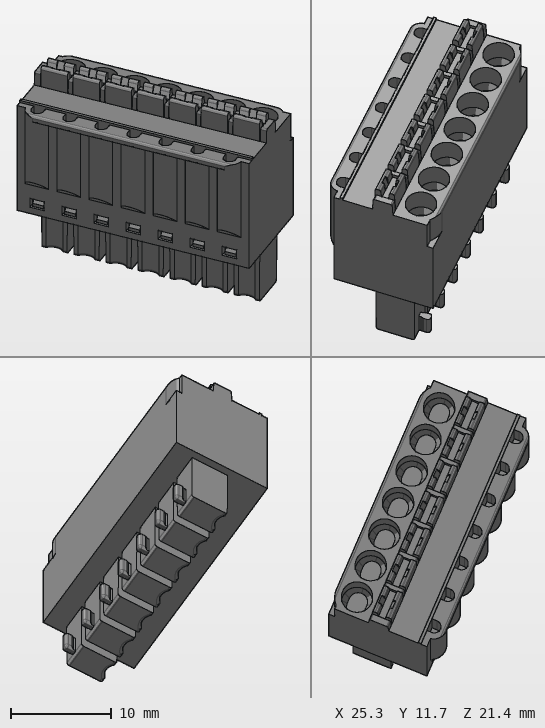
import cadquery as cq

POLES = 7
PITCH = 3.5
POLE_X = [(i - (POLES - 1) / 2) * PITCH for i in range(POLES)]
OVERLAP = 0.13

LENGTH = 25.3
DEPTH = 10.58
BOTTOM_Z = 6.7
TOP_Z = 19.13

FRONT_REACH = 1.11
COLUMN_WIDTH = 2.53
COLUMN_BOTTOM_Z = 10.12
LIP_HEIGHT = 0.68
LIP_ROUND = 0.25
COLUMN_R = ((COLUMN_WIDTH / 2) ** 2 + FRONT_REACH ** 2) / (2 * FRONT_REACH)

LINE_Y = 0.63
LINE_WIDTH = 0.3
LINE_HEIGHT = 0.25
SLOT_WIDTH = 1.3
SLOT_TIP_Y = -0.53
SLOT_DEPTH = 3.8

WIRE_SHIFT_X = -0.2
WIRE_Y = 8.35
WIRE_D = 3.1
WIRE_FLOOR_LENGTH = 2.4
WIRE_FLOOR_WIDTH = 1.87
WIRE_DEPTH = 3.04
WIRE_FUNNEL_HEIGHT = 0.75

CORNER_Y = 9.95
CORNER_Z = 15.91
BACK_R = DEPTH - WIRE_Y
BACK_ROUND = 0.25

RIDGE_FRONT_Y = 4.1
RIDGE_BACK_Y = 6.3
RIDGE_TOP_Z = 20.65
RIDGE_TAPER = 0.1
RIDGE_ROUND = 0.15

LEVER_WIDTH = 2.88
LEVER_GAP = 0.08
LEVER_FRONT_Y = 4.1
LEVER_BACK_TOP_Y = 6.15
LEVER_TOP_Z = 21.4
LEVER_ROUND = 0.25
GROOVE_FRONT_Y = 4.68
GROOVE_BACK_Y = 5.65
GROOVE_FLOOR_Z = 20.37
GROOVE_TAPER = 0.13
DRIVER_WIDTH = 0.8
DRIVER_FRONT_Y = 4.45
DRIVER_BACK_Y = 5.95

WINDOW_WIDTH = 1.57
WINDOW_BOTTOM_Z = 7.46
WINDOW_HEIGHT = 1.04
WINDOW_DEPTH = 0.68
CATCH_WIDTH = 1.2
CATCH_FRONT_Y = 0.25
CATCH_EDGE_HEIGHT = 0.35
CATCH_HEIGHT = 0.78

PIN_FRONT_Y = 4.17
PIN_BACK_Y = 8.3
PIN_ROOT_WIDTH = 2.88
PIN_TIP_WIDTH = 2.73
PIN_ROUND = 0.3
FLUTE_WIDTH = 1.82
FLUTE_DEPTH = 0.4

TAB_BACK_Y = 9.51
TAB_BOTTOM_Z = 0.3
TAB_TOP_Z = 2.53
TAB_HEAD_WIDTH = 0.8
TAB_HEAD_Y = 8.8
TAB_BEVEL_X = 0.13
TAB_BEVEL_Y = 0.25
TAB_ROUND = 0.33


def box(x0, x1, y0, y1, z0, z1):
    """Box between two opposite corners."""
    return cq.Workplane("XY").box(x1 - x0, y1 - y0, z1 - z0, centered=False).translate((x0, y0, z0))


def prism(points, width):
    """Straight-sided (Y, Z) profile extruded along X, centred on X = 0."""
    return cq.Workplane("YZ").polyline(points).close().extrude(width / 2, both=True)


def at_poles(shape, shift=0.0):
    """Copies of a shape at all poles, as one workplane."""
    copies = [shape.val().moved(cq.Location(cq.Vector(x + shift, 0, 0))) for x in POLE_X]
    return cq.Workplane("XY").newObject([cq.Compound.makeCompound(copies)])


def make_housing():
    half = LENGTH / 2
    housing = box(-half, half, 0, DEPTH, BOTTOM_Z, TOP_Z)
    housing = housing.edges(">Y and >Z").fillet(BACK_ROUND)
    strip = box(-half, half, CORNER_Y, DEPTH, CORNER_Z, TOP_Z)
    first_x = POLE_X[0] + WIRE_SHIFT_X
    last_x = POLE_X[-1] + WIRE_SHIFT_X
    kept = box(first_x, last_x, 0, DEPTH, CORNER_Z, TOP_Z)
    for x in (first_x, last_x):
        kept = kept.union(
            cq.Workplane("XY", origin=(x, WIRE_Y, CORNER_Z)).circle(BACK_R).extrude(TOP_Z - CORNER_Z)
        )
    return housing.cut(strip.cut(kept))


def make_front_columns():
    plan = at_poles(
        cq.Workplane("XY", origin=(0, COLUMN_R - FRONT_REACH, COLUMN_BOTTOM_Z))
        .circle(COLUMN_R)
        .extrude(TOP_Z - COLUMN_BOTTOM_Z)
    )
    lip = box(POLE_X[0], POLE_X[-1], -FRONT_REACH, OVERLAP, TOP_Z - LIP_HEIGHT, TOP_Z)
    profile = prism(
        [
            (OVERLAP, COLUMN_BOTTOM_Z - OVERLAP),
            (-FRONT_REACH, COLUMN_BOTTOM_Z + FRONT_REACH),
            (-FRONT_REACH, TOP_Z),
            (OVERLAP, TOP_Z),
        ],
        LENGTH,
    )
    profile = profile.edges("<Y and >Z").fillet(LIP_ROUND)
    return profile.intersect(lip.union(plan))


def make_raised_line():
    half = LENGTH / 2
    return box(-half, half, LINE_Y, LINE_Y + LINE_WIDTH, TOP_Z - OVERLAP, TOP_Z + LINE_HEIGHT)


def make_test_slot():
    radius = SLOT_WIDTH / 2
    centre_y = SLOT_TIP_Y + radius
    return (
        cq.Workplane("XY", origin=(0, 0, TOP_Z - SLOT_DEPTH))
        .moveTo(-radius, LINE_Y)
        .lineTo(-radius, centre_y)
        .threePointArc((0, SLOT_TIP_Y), (radius, centre_y))
        .lineTo(radius, LINE_Y)
        .close()
        .extrude(SLOT_DEPTH)
    )


def make_wire_hole():
    """Round bore whose bottom funnels down to a slot."""
    funnel = (
        cq.Workplane("XY", origin=(0, WIRE_Y, TOP_Z - WIRE_DEPTH))
        .slot2D(WIRE_FLOOR_LENGTH, WIRE_FLOOR_WIDTH)
        .workplane(offset=WIRE_FUNNEL_HEIGHT)
        .circle(WIRE_D / 2)
        .loft(ruled=True)
    )
    bore_height = WIRE_DEPTH - WIRE_FUNNEL_HEIGHT
    return funnel.faces(">Z").workplane(origin=(0, WIRE_Y, 0)).circle(WIRE_D / 2).extrude(bore_height)


def make_ridge():
    ridge = prism(
        [
            (RIDGE_FRONT_Y, TOP_Z - OVERLAP),
            (RIDGE_FRONT_Y, TOP_Z),
            (RIDGE_FRONT_Y + RIDGE_TAPER, RIDGE_TOP_Z),
            (RIDGE_BACK_Y - RIDGE_TAPER, RIDGE_TOP_Z),
            (RIDGE_BACK_Y, TOP_Z),
            (RIDGE_BACK_Y, TOP_Z - OVERLAP),
        ],
        LENGTH,
    )
    ridge = ridge.faces(">Z").edges("|X").fillet(RIDGE_ROUND)
    half_gap = LEVER_WIDTH / 2 + LEVER_GAP
    gap = box(-half_gap, half_gap, RIDGE_FRONT_Y, RIDGE_BACK_Y, TOP_Z, RIDGE_TOP_Z)
    return ridge.cut(at_poles(gap))


def make_lever():
    lever = prism(
        [
            (LEVER_FRONT_Y, TOP_Z - OVERLAP),
            (LEVER_FRONT_Y, LEVER_TOP_Z),
            (GROOVE_FRONT_Y, LEVER_TOP_Z),
            (GROOVE_FRONT_Y + GROOVE_TAPER, GROOVE_FLOOR_Z),
            (GROOVE_BACK_Y - GROOVE_TAPER, GROOVE_FLOOR_Z),
            (GROOVE_BACK_Y, LEVER_TOP_Z),
            (LEVER_BACK_TOP_Y, LEVER_TOP_Z),
            (RIDGE_BACK_Y, TOP_Z),
            (RIDGE_BACK_Y, TOP_Z - OVERLAP),
        ],
        LEVER_WIDTH,
    )
    lever = lever.faces(">Z").edges("|X").fillet(LEVER_ROUND)
    notch = prism(
        [
            (DRIVER_FRONT_Y, LEVER_TOP_Z),
            (GROOVE_FRONT_Y + GROOVE_TAPER, GROOVE_FLOOR_Z),
            (GROOVE_BACK_Y - GROOVE_TAPER, GROOVE_FLOOR_Z),
            (DRIVER_BACK_Y, LEVER_TOP_Z),
        ],
        DRIVER_WIDTH,
    )
    return lever.cut(notch)


def make_window():
    """Rectangular pocket that leaves a sloped catch standing on its floor."""
    half = WINDOW_WIDTH / 2
    pocket = box(-half, half, 0, WINDOW_DEPTH, WINDOW_BOTTOM_Z, WINDOW_BOTTOM_Z + WINDOW_HEIGHT)
    catch = prism(
        [
            (CATCH_FRONT_Y, WINDOW_BOTTOM_Z),
            (CATCH_FRONT_Y, WINDOW_BOTTOM_Z + CATCH_EDGE_HEIGHT),
            (WINDOW_DEPTH, WINDOW_BOTTOM_Z + CATCH_HEIGHT),
            (WINDOW_DEPTH, WINDOW_BOTTOM_Z),
        ],
        CATCH_WIDTH,
    )
    return pocket.cut(catch)


def make_pin():
    half_root = PIN_ROOT_WIDTH / 2
    half_tip = PIN_TIP_WIDTH / 2
    pin = (
        cq.Workplane("XZ", origin=(0, PIN_BACK_Y, 0))
        .polyline([(-half_tip, 0), (half_tip, 0), (half_root, BOTTOM_Z), (-half_root, BOTTOM_Z)])
        .close()
        .extrude(PIN_BACK_Y - PIN_FRONT_Y)
    )
    half_flute = FLUTE_WIDTH / 2
    flute = (
        cq.Workplane("XY")
        .moveTo(-half_flute, PIN_FRONT_Y)
        .threePointArc((0, PIN_FRONT_Y + FLUTE_DEPTH), (half_flute, PIN_FRONT_Y))
        .close()
        .extrude(BOTTOM_Z)
    )
    return pin.cut(flute).faces("<Z").edges("not |Y").fillet(PIN_ROUND)


def make_tab():
    """Tab with a neck and a wider head, rounded at its back and lower edges."""
    half_head = TAB_HEAD_WIDTH / 2
    half_neck = half_head - TAB_BEVEL_X
    neck_y = TAB_HEAD_Y - TAB_BEVEL_Y
    tab = (
        cq.Workplane("XY", origin=(0, 0, TAB_BOTTOM_Z))
        .polyline(
            [
                (-half_neck, PIN_BACK_Y - OVERLAP),
                (-half_neck, neck_y),
                (-half_head, TAB_HEAD_Y),
                (-half_head, TAB_BACK_Y),
                (half_head, TAB_BACK_Y),
                (half_head, TAB_HEAD_Y),
                (half_neck, neck_y),
                (half_neck, PIN_BACK_Y - OVERLAP),
            ]
        )
        .close()
        .extrude(TAB_TOP_Z - TAB_BOTTOM_Z)
    )
    tab = tab.edges("|Z and >Y").fillet(TAB_ROUND)
    head_region = cq.selectors.BoxSelector(
        (-LENGTH, TAB_HEAD_Y + OVERLAP, 0), (LENGTH, LENGTH, TAB_TOP_Z)
    )
    return tab.faces("<Z").edges(head_region).fillet(TAB_ROUND)


result = make_housing().union(make_front_columns()).union(make_raised_line()).union(make_ridge())
result = result.cut(at_poles(make_test_slot()))
result = result.cut(at_poles(make_wire_hole(), WIRE_SHIFT_X))
result = result.cut(at_poles(make_window()))
result = result.union(at_poles(make_lever()))
result = result.union(at_poles(make_pin().union(make_tab())))